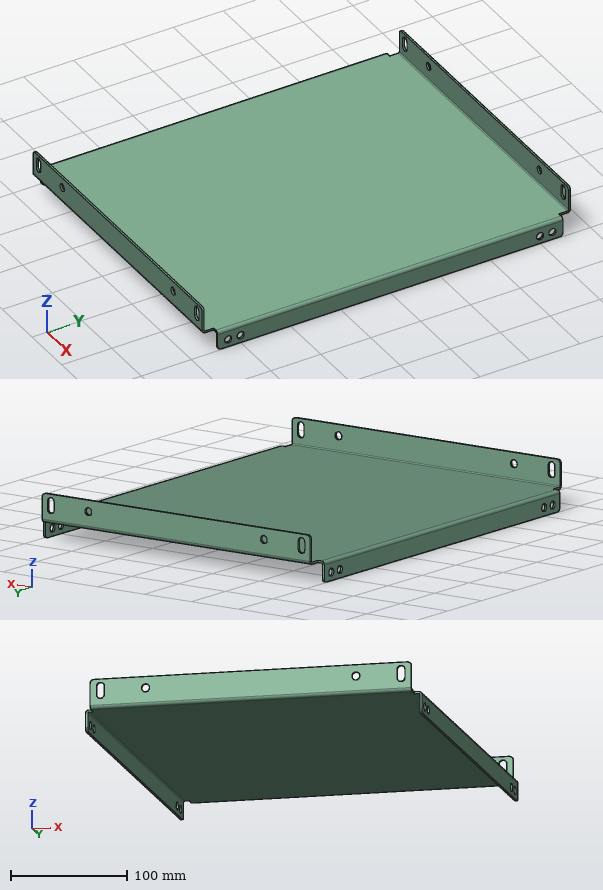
import cadquery as cq

overall_x = 298.4
overall_y = 369.0
overall_z = 43.0

sheet = 2.0
bend_inner = 1.0
bend_outer = bend_inner + sheet

end_flange_length = 284.8
side_flange_length = 346.0
end_flange_top = 26.0
side_flange_bottom = end_flange_top - overall_z
corner_radius = 3.5

end_hole_diameter = 7.0
end_hole_x = 93.25
slot_x = 133.25
slot_width = 7.0
slot_height = 14.0
end_hole_drop = 10.0
end_hole_z = end_flange_top - end_hole_drop

side_hole_diameter = 7.0
side_hole_positions_y = (150.0, 162.5)
side_hole_rise = 7.5
side_hole_z = side_flange_bottom + side_hole_rise


def channel(plane, width, length, plate_face, bend_face, flange_edge):
    """Extrude a U channel, centred in X and Y, whose web lies between plate_face and bend_face.

    The bends are convex on the bend_face side, and both legs run to flange_edge.
    """
    leg_height = abs(flange_edge - bend_face)
    outer_box = (
        cq.Workplane(plane)
        .center(0, (flange_edge + bend_face) / 2)
        .rect(width, leg_height)
        .extrude(length / 2, both=True)
    )
    inner_box = (
        cq.Workplane(plane)
        .center(0, (flange_edge + plate_face) / 2)
        .rect(width - 2 * sheet, abs(flange_edge - plate_face))
        .extrude(length / 2, both=True)
    )
    bend_side = "<Z" if bend_face < flange_edge else ">Z"
    bend_edges = "|X" if plane == "YZ" else "|Y"
    outer_box = outer_box.faces(bend_side).edges(bend_edges).fillet(bend_outer)
    inner_box = inner_box.faces(bend_side).edges(bend_edges).fillet(bend_inner)
    return outer_box.cut(inner_box)


def end_channel():
    """Plate with the two upward end flanges and rounded upper corners."""
    body = channel("YZ", overall_y, end_flange_length, sheet, 0, end_flange_top)
    top_corners = body.faces(">Z").edges("|Y")
    return top_corners.fillet(corner_radius)


def side_channel():
    """Plate with the two downward side flanges and rounded lower corners."""
    body = channel("XZ", overall_x, side_flange_length, 0, sheet, side_flange_bottom)
    bottom_corners = body.faces("<Z").edges("|X")
    return bottom_corners.fillet(corner_radius)


def end_flange_holes():
    """Cutters through both end flanges: two round holes and two upright slots."""
    holes = (
        cq.Workplane("XZ")
        .pushPoints([(-end_hole_x, end_hole_z), (end_hole_x, end_hole_z)])
        .circle(end_hole_diameter / 2)
        .extrude(overall_y, both=True)
    )
    slots = (
        cq.Workplane("XZ")
        .pushPoints([(-slot_x, end_hole_z), (slot_x, end_hole_z)])
        .slot2D(slot_height, slot_width, 90)
        .extrude(overall_y, both=True)
    )
    return holes.union(slots)


def side_flange_holes():
    """Cutters through both side flanges: a pair of round holes near each end."""
    points = [(sign * y, side_hole_z) for sign in (-1, 1) for y in side_hole_positions_y]
    return (
        cq.Workplane("YZ")
        .pushPoints(points)
        .circle(side_hole_diameter / 2)
        .extrude(overall_x, both=True)
    )


tray = end_channel().union(side_channel())
result = tray.cut(end_flange_holes()).cut(side_flange_holes())